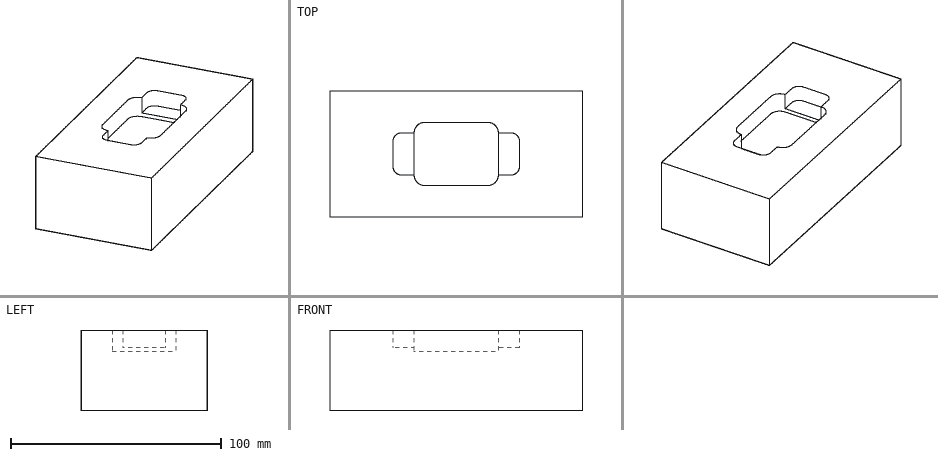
import cadquery as cq

length = 120.0
width = length / 2
height = 38.0

main_length = length / 3
main_width = width / 2
main_depth = 10.0
main_radius = 5.0
ear_span = length / 2
ear_width = width / 3
ear_depth = 8.0
ear_radius = 4.0


def rounded_pocket(size_x, size_y, depth, radius):
    """Solid with rounded vertical corners, reaching down from the top face."""
    return (
        cq.Workplane("XY")
        .workplane(offset=height - depth)
        .rect(size_x, size_y)
        .extrude(depth)
        .edges("|Z")
        .fillet(radius)
    )


block = cq.Workplane("XY").box(length, width, height, centered=(True, True, False))

main_pocket = rounded_pocket(main_length, main_width, main_depth, main_radius)
ear_pocket = rounded_pocket(ear_span, ear_width, ear_depth, ear_radius)

result = block.cut(main_pocket).cut(ear_pocket)